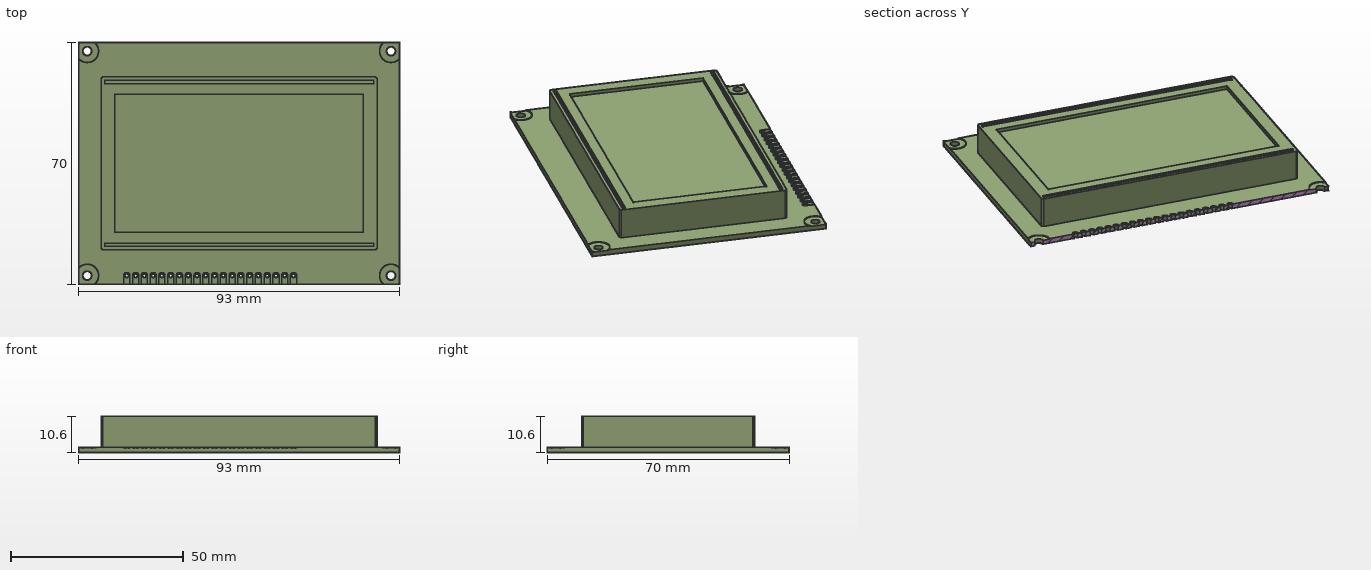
import cadquery as cq

BOARD_LENGTH = 93.0
BOARD_WIDTH = 70.0
BOARD_THICKNESS = 1.6
TOTAL_HEIGHT = 10.6

CORNER_INSET = 2.5
MOUNTING_HOLE_DIAMETER = 2.5
MOUNTING_PAD_DIAMETER = 6.6
PAD_DEPTH = 0.2

HOUSING_LENGTH = 80.0
HOUSING_WIDTH = 50.1
HOUSING_CORNER_CHAMFER = 0.5
WINDOW_LENGTH = 72.0
WINDOW_WIDTH = 40.0
WINDOW_DEPTH = 1.0
GROOVE_WIDTH = 0.9
GROOVE_DEPTH = 1.0
GROOVE_EDGE_MARGIN = 1.0

PIN_COUNT = 20
PIN_ROW_SPAN = 48.3
PIN_ROW_CENTER_X = -8.4
PIN_HOLE_INSET = 2.5
PIN_HOLE_DIAMETER = 1.0
PIN_PAD_WIDTH = 1.8

FRONT_EDGE_Y = -BOARD_WIDTH / 2


def make_board():
    """Plain board with its underside at Z = 0."""
    return cq.Workplane("XY").box(
        BOARD_LENGTH, BOARD_WIDTH, BOARD_THICKNESS, centered=(True, True, False)
    )


def cut_mounting_corners(board):
    """Sink a round pad around a through hole in every corner."""
    return (
        board.faces(">Z")
        .workplane()
        .rect(BOARD_LENGTH - 2 * CORNER_INSET, BOARD_WIDTH - 2 * CORNER_INSET, forConstruction=True)
        .vertices()
        .cboreHole(MOUNTING_HOLE_DIAMETER, MOUNTING_PAD_DIAMETER, PAD_DEPTH)
    )


def cut_connector(board):
    """Sink round-ended connector pads, open to the front edge, and drill their pin holes."""
    pin_pitch = PIN_ROW_SPAN / (PIN_COUNT - 1)
    first_pin_x = PIN_ROW_CENTER_X - PIN_ROW_SPAN / 2
    pin_xs = [first_pin_x + pin_pitch * pin for pin in range(PIN_COUNT)]
    pin_y = FRONT_EDGE_Y + PIN_HOLE_INSET
    pad_floor = cq.Workplane("XY").workplane(offset=BOARD_THICKNESS - PAD_DEPTH)
    pad_strips = (
        pad_floor.pushPoints([(x, FRONT_EDGE_Y + PIN_HOLE_INSET / 2) for x in pin_xs])
        .rect(PIN_PAD_WIDTH, PIN_HOLE_INSET)
        .extrude(PAD_DEPTH)
    )
    pad_ends = (
        pad_floor.pushPoints([(x, pin_y) for x in pin_xs])
        .circle(PIN_PAD_WIDTH / 2)
        .extrude(PAD_DEPTH)
    )
    holes = (
        cq.Workplane("XY")
        .pushPoints([(x, pin_y) for x in pin_xs])
        .circle(PIN_HOLE_DIAMETER / 2)
        .extrude(BOARD_THICKNESS)
    )
    return board.cut(pad_strips).cut(pad_ends).cut(holes)


def make_housing():
    """Display housing with a recessed window between two long grooves."""
    groove_length = HOUSING_LENGTH - 2 * GROOVE_EDGE_MARGIN
    groove_y = HOUSING_WIDTH / 2 - GROOVE_EDGE_MARGIN - GROOVE_WIDTH / 2
    block = (
        cq.Workplane("XY")
        .workplane(offset=BOARD_THICKNESS)
        .rect(HOUSING_LENGTH, HOUSING_WIDTH)
        .extrude(TOTAL_HEIGHT - BOARD_THICKNESS)
        .edges("|Z")
        .chamfer(HOUSING_CORNER_CHAMFER)
    )
    top = cq.Workplane("XY").workplane(offset=TOTAL_HEIGHT)
    window = top.rect(WINDOW_LENGTH, WINDOW_WIDTH).extrude(-WINDOW_DEPTH)
    grooves = (
        top.pushPoints([(0, groove_y), (0, -groove_y)])
        .rect(groove_length, GROOVE_WIDTH)
        .extrude(-GROOVE_DEPTH)
    )
    return block.cut(window).cut(grooves)


board = cut_connector(cut_mounting_corners(make_board()))
result = board.union(make_housing())